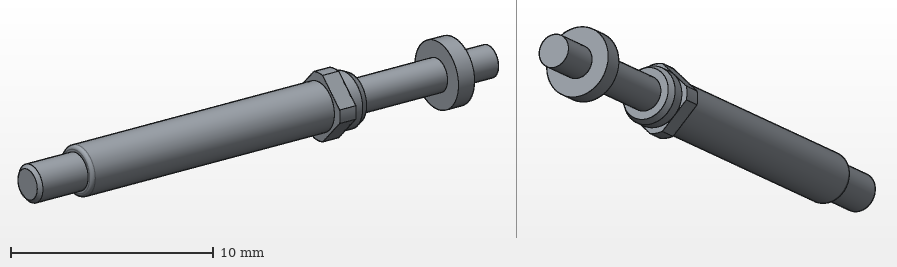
import cadquery as cq


total_length = 28.5
tail_length = 3.0
body_length = 15.0
nut_length = 1.0
collar_length = 1.0
disk_length = 1.0
tip_length = 2.2

tail_diameter = 2.0
body_diameter = 2.65
collar_diameter = 3.0
neck_diameter = 1.8
disk_diameter = 3.6
tip_diameter = 1.7

nut_flats = collar_diameter
nut_corner_diameter = disk_diameter

tail_chamfer = 0.2
body_fillet = 0.2
collar_taper_length = 0.37

tail_start = -total_length / 2
body_start = tail_start + tail_length
nut_start = body_start + body_length
collar_start = nut_start + nut_length
neck_start = collar_start + collar_length
tip_start = total_length / 2 - tip_length
disk_start = tip_start - disk_length
neck_length = disk_start - neck_start


def plane_at(y):
    """Plane across the axis at y, with its normal along +Y."""
    return cq.Plane(origin=(0, y, 0), xDir=(1, 0, 0), normal=(0, 1, 0))


def cylinder(start, length, diameter):
    return cq.Workplane(plane_at(start)).circle(diameter / 2).extrude(length)


def make_tail():
    return cylinder(tail_start, tail_length, tail_diameter).faces("<Y").chamfer(tail_chamfer)


def make_body():
    return cylinder(body_start, body_length, body_diameter).faces("<Y").edges().fillet(body_fillet)


def make_nut():
    square = cq.Workplane(plane_at(nut_start)).rect(nut_flats, nut_flats).extrude(nut_length)
    diamond = square.rotate((0, 0, 0), (0, 1, 0), 45)
    return diamond.intersect(cylinder(nut_start, nut_length, nut_corner_diameter))


def make_collar():
    """Collar that tapers to the body diameter at its plunger end."""
    profile = (
        cq.Workplane("XY")
        .moveTo(0, collar_start)
        .lineTo(collar_diameter / 2, collar_start)
        .lineTo(collar_diameter / 2, neck_start - collar_taper_length)
        .lineTo(body_diameter / 2, neck_start)
        .lineTo(0, neck_start)
        .close()
    )
    return profile.revolve(360, (0, 0, 0), (0, 1, 0))


def make_plunger():
    neck = cylinder(neck_start, neck_length, neck_diameter)
    disk = cylinder(disk_start, disk_length, disk_diameter)
    tip = cylinder(tip_start, tip_length, tip_diameter)
    return neck.union(disk).union(tip)


result = make_tail()
for section in (make_body(), make_nut(), make_collar(), make_plunger()):
    result = result.union(section)